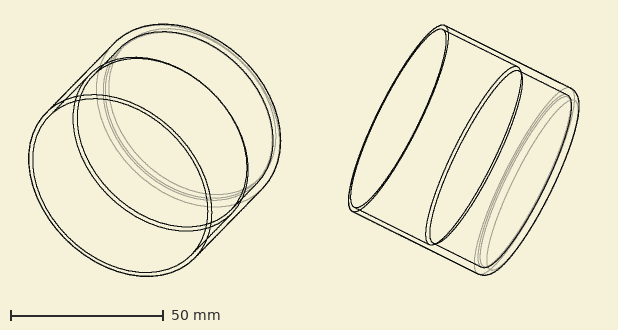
import cadquery as cq
import math

outer_diameter = 68.0
length = 50.0
wall_thickness = 2.5
rim_radius = 3.0

socket_diameter = 65.0
socket_depth = 28.0

outer_radius = outer_diameter / 2
socket_radius = socket_diameter / 2
inner_radius = outer_radius - wall_thickness
shoulder_end = socket_depth + socket_radius - inner_radius
floor_depth = length - wall_thickness
floor_corner_radius = rim_radius - wall_thickness


def cap_body():
    body = cq.Workplane("XZ").circle(outer_radius).extrude(-length)
    return body.faces(">Y").edges().fillet(rim_radius)


def bore():
    """Revolved cavity, drawn as radius (X) against depth from the mouth (Y)."""
    corner_center_radius = inner_radius - floor_corner_radius
    corner_center_depth = floor_depth - floor_corner_radius
    arc_middle_offset = floor_corner_radius * math.sqrt(0.5)
    arc_middle = (
        corner_center_radius + arc_middle_offset,
        corner_center_depth + arc_middle_offset,
    )
    return (
        cq.Workplane("XY")
        .lineTo(socket_radius, 0)
        .lineTo(socket_radius, socket_depth)
        .lineTo(inner_radius, shoulder_end)
        .lineTo(inner_radius, corner_center_depth)
        .threePointArc(arc_middle, (corner_center_radius, floor_depth))
        .lineTo(0, floor_depth)
        .close()
        .revolve(360, (0, 0, 0), (0, 1, 0))
    )


result = cap_body().cut(bore())